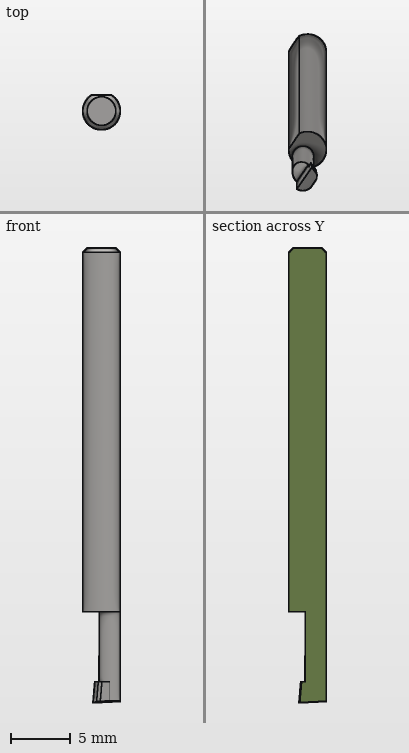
import cadquery as cq

total_length = 38.1
shank_diameter = 3.15
depth_across_flat = 2.95
end_chamfer = 0.4
neck_length = 7.62

neck_diameter = 1.8

rake_y = 0.05
relief_inner_height = 2.35
relief_outer_height = 2.97

head_height = 1.8
edge_x = -0.57
flank_corners = [(-0.25, -0.7), (0.05, -0.88)]
flank_lean = 0.15

end_rise_along_x = 0.1
end_rise_along_y = 0.1

shank_radius = shank_diameter / 2
neck_radius = neck_diameter / 2
neck_x = shank_radius - neck_radius
flat_y = depth_across_flat - shank_radius
tip_x = edge_x - flank_lean


def make_shank():
    """Round bar with a chamfered upper end and a full-length flat."""
    bar = (
        cq.Workplane("XY", origin=(0, 0, neck_length))
        .circle(shank_radius)
        .extrude(total_length - neck_length)
        .faces(">Z")
        .chamfer(end_chamfer)
    )
    flat_stock = (
        cq.Workplane("XY", origin=(0, flat_y, neck_length))
        .rect(shank_diameter, shank_diameter)
        .extrude(total_length - neck_length)
        .translate((0, shank_diameter / 2, 0))
    )
    return bar.cut(flat_stock)


def make_neck():
    """Round neck whose lower +Y half is removed, ending in a sloping run-out."""
    neck = cq.Workplane("XY").center(neck_x, 0).circle(neck_radius).extrude(neck_length)
    relief = (
        cq.Workplane("YZ")
        .polyline([
            (rake_y, 0),
            (neck_radius, 0),
            (neck_radius, relief_outer_height),
            (rake_y, relief_inner_height),
        ])
        .close()
        .extrude(shank_radius, both=True)
    )
    return neck.cut(relief)


def head_section(flank_shift):
    """Corners of the head section, with its flank shifted towards -X."""
    flank = [(x - flank_shift, y) for x, y in flank_corners]
    return [(edge_x - flank_shift, rake_y), *flank, (neck_x, -neck_radius), (neck_x, rake_y)]


def make_head():
    """Faceted cutting head that widens towards the tip."""
    return (
        cq.Workplane("XY")
        .polyline(head_section(flank_lean))
        .close()
        .workplane(offset=head_height)
        .polyline(head_section(0))
        .close()
        .loft(ruled=True, combine=True)
    )


def make_end_clearance():
    """Wedge below the sloping end face, which touches Z = 0 only at the tip."""
    margin = 0.4
    slope_x = end_rise_along_x / (shank_radius - tip_x)
    slope_y = end_rise_along_y / (neck_radius + rake_y)
    x_low, x_high = tip_x - margin, shank_radius + margin
    y_low, y_high = -neck_radius - margin, margin

    def on_end_face(x, y):
        return cq.Vector(x, y, slope_x * (x - tip_x) - slope_y * (y - rake_y))

    outline = [(x_low, y_low), (x_high, y_low), (x_high, y_high), (x_low, y_high)]
    wire = cq.Wire.makePolygon([on_end_face(x, y) for x, y in outline], close=True)
    below = cq.Vector(0, 0, -2 * margin)
    return cq.Workplane(cq.Solid.extrudeLinear(wire, [], below))


result = make_shank().union(make_neck()).union(make_head()).cut(make_end_clearance())